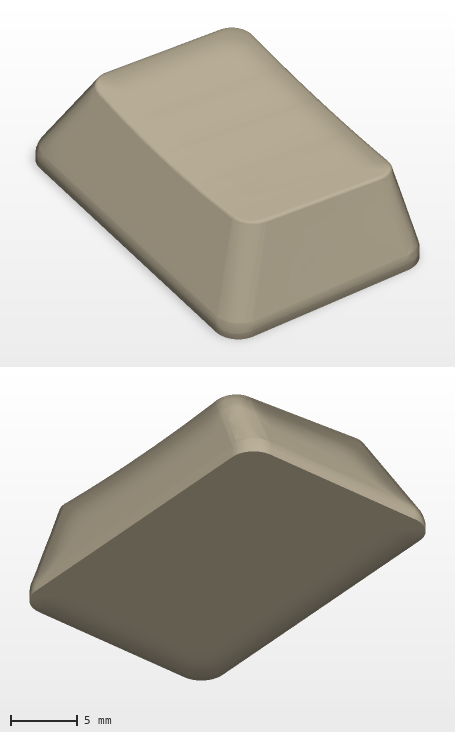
import cadquery as cq

LENGTH = 27.69
WIDTH = 18.16
BASE_CORNER_RADIUS = 2.05

SKIRT_HEIGHT = 0.985
SHOULDER_RADIUS = 1.5

TOP_TILT = 3.5

RIM_HEIGHT = 8.0
RIM_LENGTH = 20.92
RIM_FRONT = -5.28
RIM_REAR = 8.44
RIM_CORNER_RADIUS = 1.8

DISH_RADIUS = 122.0
DISH_HEIGHT = 7.04
DISH_LENGTH = 3 * WIDTH
TOP_EDGE_RADIUS = 0.3


def rounded_rectangle(plane, length, width, radius):
    """Rounded rectangle wire centred on the plane's origin."""
    outline = cq.Workplane(plane).rect(length, width).val()
    return outline.fillet2D(radius, outline.Vertices())


def tilted_plane(height):
    """Plane crossing the Z axis at the given height and sloping down to the rear."""
    return cq.Plane(origin=(0, 0, height)).rotated((-TOP_TILT, 0, 0))


def skirt():
    """Vertical band around the foot of the cap."""
    outline = rounded_rectangle(cq.Plane.XY(), LENGTH, WIDTH, BASE_CORNER_RADIUS)
    return cq.Workplane(cq.Solid.extrudeLinear(outline, [], cq.Vector(0, 0, SKIRT_HEIGHT)))


def walls():
    """Leaning walls, lofted straight from the top of the skirt to the tilted rim."""
    base_plane = cq.Plane(origin=(0, 0, SKIRT_HEIGHT))
    base = rounded_rectangle(base_plane, LENGTH, WIDTH, BASE_CORNER_RADIUS)

    rim_plane = tilted_plane(RIM_HEIGHT)
    rim_plane.origin = rim_plane.toWorldCoords((0, (RIM_FRONT + RIM_REAR) / 2))
    rim = rounded_rectangle(rim_plane, RIM_LENGTH, RIM_REAR - RIM_FRONT, RIM_CORNER_RADIUS)

    return cq.Workplane(cq.Solid.makeLoft([base, rim], True))


def round_shoulder(body):
    """Round the level edge loop where the walls meet the skirt."""
    tolerance = 0.01
    bend = cq.selectors.BoxSelector(
        (-LENGTH, -WIDTH, SKIRT_HEIGHT - tolerance),
        (LENGTH, WIDTH, SKIRT_HEIGHT + tolerance),
        boundingbox=True,
    )
    return body.edges(bend).fillet(SHOULDER_RADIUS)


def dish_cutter():
    """Long tilted cylinder whose underside shapes the concave top."""
    bottom_plane = tilted_plane(DISH_HEIGHT)
    end_plane = cq.Plane(
        origin=bottom_plane.toWorldCoords((0, -DISH_LENGTH / 2, DISH_RADIUS)),
        xDir=bottom_plane.xDir,
        normal=bottom_plane.yDir,
    )
    return cq.Workplane(end_plane).circle(DISH_RADIUS).extrude(DISH_LENGTH)


cap = round_shoulder(skirt().union(walls()))
cap = cap.cut(dish_cutter())
result = cap.faces("%CYLINDER").faces(">Z").edges().fillet(TOP_EDGE_RADIUS)